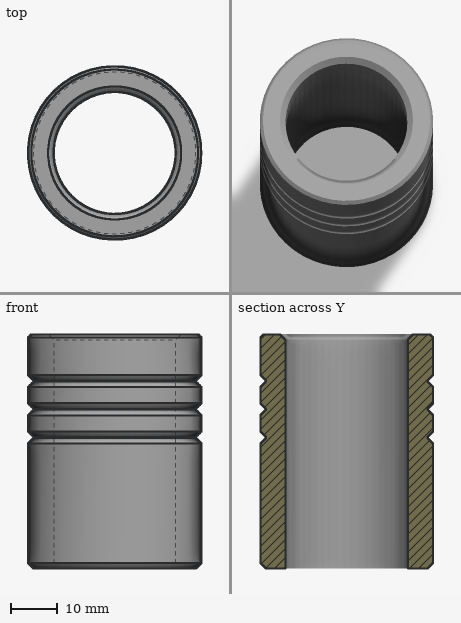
import cadquery as cq

length = 50.0
outer_diameter = 37.0
bore_diameter = 26.0

top_chamfer = 0.7
bore_chamfer = 1.2
bottom_chamfer = 1.2

groove_count = 3
groove_pitch = 6.0
first_groove_below_top = 10.0
groove_depth = 1.2
groove_root_width = 0.2

outer_radius = outer_diameter / 2
bore_radius = bore_diameter / 2


def revolve_profile(points):
    """Revolve a closed outline of (radius, height) points about the Z axis."""
    return cq.Workplane("XZ").polyline(points).close().revolve(360, (0, 0), (0, 1))


def bushing_body():
    """Tube with 45 degree chamfers on its outer edges and at the top of the bore."""
    return revolve_profile([
        (bore_radius, 0),
        (outer_radius - bottom_chamfer, 0),
        (outer_radius, bottom_chamfer),
        (outer_radius, length - top_chamfer),
        (outer_radius - top_chamfer, length),
        (bore_radius + bore_chamfer, length),
        (bore_radius, length - bore_chamfer),
    ])


def groove_cutter(height):
    """Ring that cuts a groove with 45 degree flanks, centred on the given height."""
    root_radius = outer_radius - groove_depth
    rim_radius = outer_radius + groove_depth
    half_root = groove_root_width / 2
    half_rim = half_root + rim_radius - root_radius
    return revolve_profile([
        (root_radius, height + half_root),
        (root_radius, height - half_root),
        (rim_radius, height - half_rim),
        (rim_radius, height + half_rim),
    ])


result = bushing_body()
for index in range(groove_count):
    groove_height = length - first_groove_below_top - index * groove_pitch
    result = result.cut(groove_cutter(groove_height))